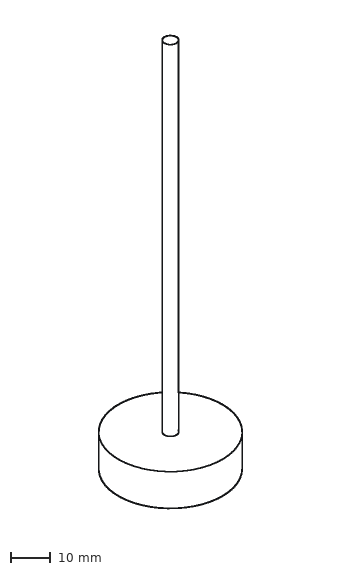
import cadquery as cq

total_height = 129.0
base_diameter = 36.0
base_height = 11.1
rod_diameter = 4.1

base = cq.Workplane("XY").circle(base_diameter / 2).extrude(base_height)

rod = cq.Workplane("XY").circle(rod_diameter / 2).extrude(total_height)

result = base.union(rod)